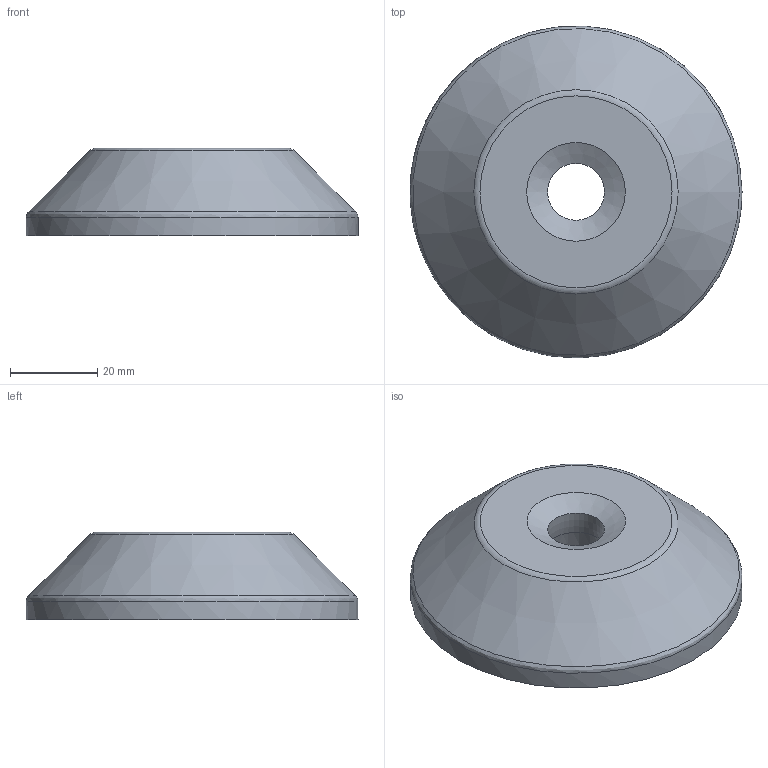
import cadquery as cq
import math

base_radius = 38.0
height = 20.0
rim_height = 5.0
top_radius = 22.8
edge_fillet = 2.0

throat_radius = 6.5
seat_radius = 11.3
seat_depth = 2.4

flare_angle = math.radians(11)
bore_arc_height = 5.8


def make_body():
    """Cylindrical rim under a conical flank, with both upper corners rounded."""
    outline = (
        cq.Workplane("XZ")
        .lineTo(base_radius, 0)
        .lineTo(base_radius, rim_height)
        .lineTo(top_radius, height)
        .lineTo(0, height)
        .close()
    )
    body = outline.revolve(360, (0, 0, 0), (0, 1, 0))
    return body.edges("%CIRCLE").edges("not <Z").fillet(edge_fillet)


def make_bore():
    """Through opening: seat cone, arc leaving the throat vertically, tangent flare cone."""
    throat_z = height - seat_depth
    arc_radius = bore_arc_height / math.sin(flare_angle)

    def arc_point(angle):
        """Point on the bore arc where its tangent leans outward by the given angle."""
        return (
            throat_radius + arc_radius * (1 - math.cos(angle)),
            throat_z - arc_radius * math.sin(angle),
        )

    flare_start = arc_point(flare_angle)
    base_opening_radius = flare_start[0] + flare_start[1] * math.tan(flare_angle)

    outline = (
        cq.Workplane("XZ")
        .lineTo(base_opening_radius, 0)
        .lineTo(*flare_start)
        .threePointArc(arc_point(flare_angle / 2), (throat_radius, throat_z))
        .lineTo(seat_radius, height)
        .lineTo(0, height)
        .close()
    )
    return outline.revolve(360, (0, 0, 0), (0, 1, 0))


result = make_body().cut(make_bore())